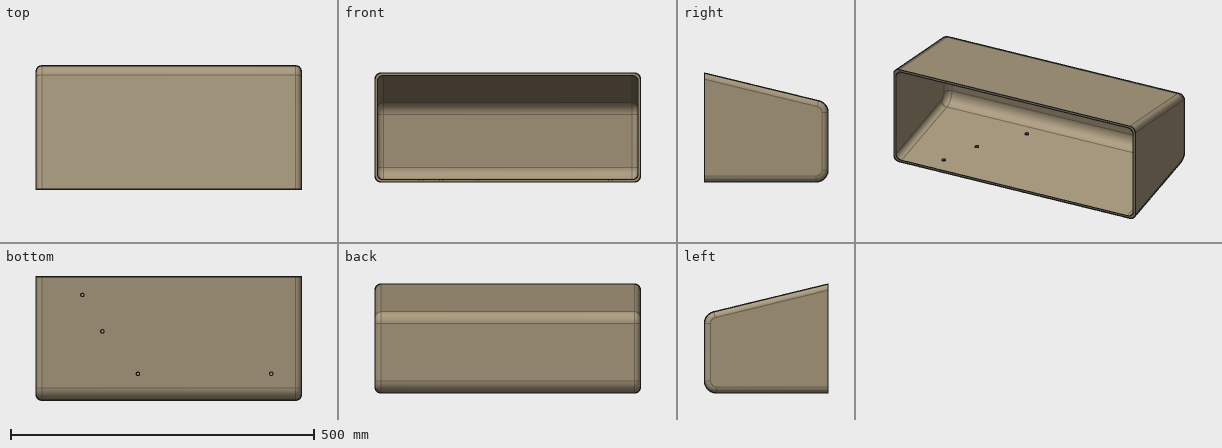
import cadquery as cq

length = 438.0
depth = 204.0
front_height = 180.0
back_height = 130.5
wall = 4.0
side_radius = 10.0
back_radius = 20.0

hole_diameter = 5.5
hole_places = [(76.5, 30.2), (109.5, 90.2), (168.0, 160.5), (388.0, 160.5)]

roof_slope = (front_height - back_height) / depth
roof_drop = wall * (1 + roof_slope**2) ** 0.5


def rounded_wedge(inset, drop):
    """Body with rounded edges, moved inward from the outer walls and down from the roof."""
    rear = depth - inset
    profile = [
        (0, inset),
        (rear, inset),
        (rear, front_height - roof_slope * rear - drop),
        (0, front_height - drop),
    ]
    body = (
        cq.Workplane("YZ", origin=(inset, 0, 0))
        .polyline(profile)
        .close()
        .extrude(length - 2 * inset)
    )
    body = body.edges("|X and >Y").fillet(back_radius)
    return body.faces("<X or >X").edges("not <Y").fillet(side_radius)


outer_body = rounded_wedge(0, 0)
cavity = rounded_wedge(wall, roof_drop)

floor_holes = (
    cq.Workplane("XY")
    .pushPoints(hole_places)
    .circle(hole_diameter / 2)
    .extrude(2 * wall)
)

result = outer_body.cut(cavity).cut(floor_holes)